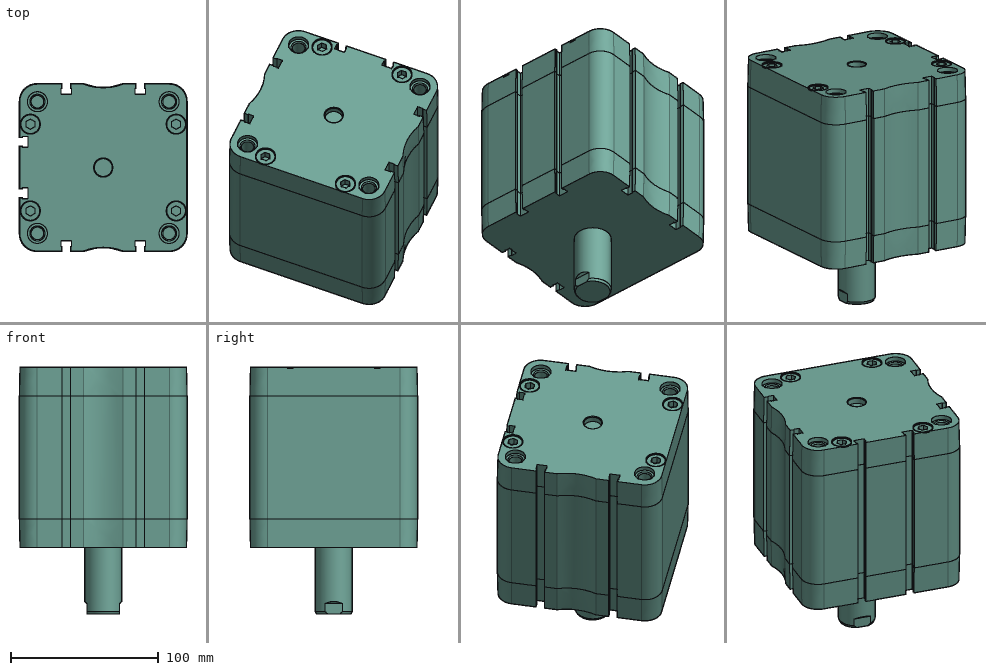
import cadquery as cq

SIDE = 113.5
CORNER_RADIUS = 12.0
BODY_HEIGHT = 122.0
BARREL_HEIGHT = 83.2
TOTAL_HEIGHT = 167.0
CAP_HEIGHT = (BODY_HEIGHT - BARREL_HEIGHT) / 2
CAP_DRAFT = 1.3

MOUTH_WIDTH = 5.8
SIDE_SLOT_SPACING = 50.1
SIDE_SLOT_INNER_WIDTH = 6.8
SIDE_SLOT_LIP = 3.3
SIDE_SLOT_DEPTH = 7.2
LEFT_SLOT_SPACING = 34.7
LEFT_SLOT_INNER_WIDTH = 7.2
LEFT_SLOT_LIP = 2.2
LEFT_SLOT_DEPTH = 5.8
SCALLOP_WIDTH = 26.7
SCALLOP_DEPTH = 2.5
OVERCUT = 1.7

MOUNT_PITCH = 89.0
MOUNT_COUNTERBORE = 13.5
MOUNT_COUNTERBORE_DEPTH = 3.0
MOUNT_HOLE = 8.5
MOUNT_COUNTERSINK = 10.2
SCREW_PITCH_X = 98.5
SCREW_PITCH_Y = 58.6
SCREW_RECESS = 13.5
SCREW_HEAD = 12.7
SCREW_RECESS_DEPTH = 1.0
SCREW_HEAD_SINK = 0.5
SOCKET_FLATS = 6.0
SOCKET_DEPTH = 5.0
CENTER_HOLE = 12.0
CENTER_HOLE_DEPTH = 4.3
CENTER_HOLE_MOUTH = 13.0

ROD_DIAMETER = 25.0
ROD_REACH = TOTAL_HEIGHT - BODY_HEIGHT
ROD_FLATS = 22.0
ROD_FLAT_HEIGHT = 7.0
ROD_CHAMFER_HEIGHT = 1.8
ROD_CHAMFER_DEPTH = 0.8


def t_slot(width, lip, depth):
    """T-slot cutter for the +Y side, centred on X = 0, as tall as the whole body."""
    face = SIDE / 2
    mouth = (
        cq.Workplane()
        .box(MOUTH_WIDTH, depth + OVERCUT, BODY_HEIGHT, centered=(True, False, False))
        .translate((0, face - depth, 0))
    )
    pocket = (
        cq.Workplane()
        .box(width, depth - lip, BODY_HEIGHT, centered=(True, False, False))
        .translate((0, face - depth, 0))
    )
    return mouth.union(pocket)


def scallop():
    """Shallow round groove for the +Y side."""
    radius = ((SCALLOP_WIDTH / 2) ** 2 + SCALLOP_DEPTH ** 2) / (2 * SCALLOP_DEPTH)
    return (
        cq.Workplane()
        .center(0, SIDE / 2 - SCALLOP_DEPTH + radius)
        .circle(radius)
        .extrude(BODY_HEIGHT)
    )


def slots():
    """Two T-slots on each of the -Y, +Y and -X sides."""
    side_slot = t_slot(SIDE_SLOT_INNER_WIDTH, SIDE_SLOT_LIP, SIDE_SLOT_DEPTH)
    left_slot = t_slot(LEFT_SLOT_INNER_WIDTH, LEFT_SLOT_LIP, LEFT_SLOT_DEPTH)
    cutters = []
    for sign in (-1, 1):
        upper = side_slot.translate((sign * SIDE_SLOT_SPACING / 2, 0, 0))
        left = left_slot.translate((sign * LEFT_SLOT_SPACING / 2, 0, 0))
        cutters += [upper, upper.mirror("XZ"), left.rotate((0, 0, 0), (0, 0, 1), 90)]
    return cq.Workplane().newObject([cutter.val() for cutter in cutters]).combine()


def make_barrel_block():
    """Barrel with its scallops, before the slots are cut."""
    outline = cq.Sketch().rect(SIDE, SIDE).vertices().fillet(CORNER_RADIUS)
    block = cq.Workplane().workplane(offset=CAP_HEIGHT).placeSketch(outline).extrude(BARREL_HEIGHT)
    return block.cut(scallop()).cut(scallop().mirror("XZ"))


def make_cap_blank(block, end):
    """Cap grown from one end face of the barrel block, drafted inward, with straight slots."""
    end_outline = block.faces(end).wires().toPending()
    cap = end_outline.workplane().extrude(CAP_HEIGHT, taper=CAP_DRAFT, combine=False)
    return cap.cut(slots())


def make_lower_cap(block):
    rod_bore = cq.Workplane().circle(ROD_DIAMETER / 2).extrude(CAP_HEIGHT)
    return make_cap_blank(block, "<Z").cut(rod_bore)


def cut_mounting_holes(cap):
    """Counterbored corner holes through the cap, countersunk at the counterbore floor."""
    floor = -MOUNT_COUNTERBORE_DEPTH
    countersink = (MOUNT_COUNTERSINK - MOUNT_HOLE) / 2
    cutter = (
        cq.Workplane("XZ")
        .lineTo(MOUNT_COUNTERBORE / 2, 0)
        .lineTo(MOUNT_COUNTERBORE / 2, floor)
        .lineTo(MOUNT_COUNTERSINK / 2, floor)
        .lineTo(MOUNT_HOLE / 2, floor - countersink)
        .lineTo(MOUNT_HOLE / 2, -CAP_HEIGHT)
        .lineTo(0, -CAP_HEIGHT)
        .close()
        .revolve(360, (0, 0), (0, 1))
        .val()
    )
    positions = cq.Workplane().workplane(offset=BODY_HEIGHT).rarray(MOUNT_PITCH, MOUNT_PITCH, 2, 2)
    return cap.cut(positions.eachpoint(cutter, combine=False))


def cut_screw_heads(cap):
    """Recesses around the slightly sunk screw heads, each head with a hexagon socket."""
    top = cq.Workplane().workplane(offset=BODY_HEIGHT)
    centers = top.rarray(SCREW_PITCH_X, SCREW_PITCH_Y, 2, 2)
    rings = centers.circle(SCREW_RECESS / 2).circle(SCREW_HEAD / 2).extrude(-SCREW_RECESS_DEPTH)
    clearances = centers.circle(SCREW_RECESS / 2).extrude(-SCREW_HEAD_SINK)
    sockets = centers.polygon(6, SOCKET_FLATS, circumscribed=True).extrude(-SCREW_HEAD_SINK - SOCKET_DEPTH)
    return cap.cut(rings).cut(clearances).cut(sockets)


def cut_center_hole(cap):
    """Blind centring hole with a small chamfer at its mouth."""
    chamfer = (CENTER_HOLE_MOUTH - CENTER_HOLE) / 2
    top = cq.Workplane().workplane(offset=BODY_HEIGHT)
    hole = top.circle(CENTER_HOLE / 2).extrude(-CENTER_HOLE_DEPTH)
    mouth = top.circle(CENTER_HOLE_MOUTH / 2).extrude(-chamfer, taper=45)
    return cap.cut(hole).cut(mouth)


def make_upper_cap(block):
    cap = cut_mounting_holes(make_cap_blank(block, ">Z"))
    cap = cut_screw_heads(cap)
    return cut_center_hole(cap)


def make_rod():
    """Rod that fills the lower cap's bore, with a chamfered tip and two wrench flats."""
    radius = ROD_DIAMETER / 2
    rod = (
        cq.Workplane("XZ")
        .moveTo(0, CAP_HEIGHT)
        .lineTo(radius, CAP_HEIGHT)
        .lineTo(radius, ROD_CHAMFER_HEIGHT - ROD_REACH)
        .lineTo(radius - ROD_CHAMFER_DEPTH, -ROD_REACH)
        .lineTo(0, -ROD_REACH)
        .close()
        .revolve(360, (0, 0), (0, 1))
    )
    flat = ROD_FLATS / 2
    outside = radius + OVERCUT
    flat_end = ROD_FLAT_HEIGHT - ROD_REACH
    flat_cutter = (
        cq.Workplane("XZ")
        .moveTo(flat, -ROD_REACH)
        .lineTo(outside, -ROD_REACH)
        .lineTo(outside, flat_end + outside - flat)
        .lineTo(flat, flat_end)
        .close()
        .extrude(radius, both=True)
    )
    return rod.cut(flat_cutter).cut(flat_cutter.mirror("YZ"))


barrel_block = make_barrel_block()
barrel = barrel_block.cut(slots())
lower_cap = make_lower_cap(barrel_block)
upper_cap = make_upper_cap(barrel_block)
rod = make_rod()

result = cq.Compound.makeCompound([barrel.val(), lower_cap.val(), upper_cap.val(), rod.val()])